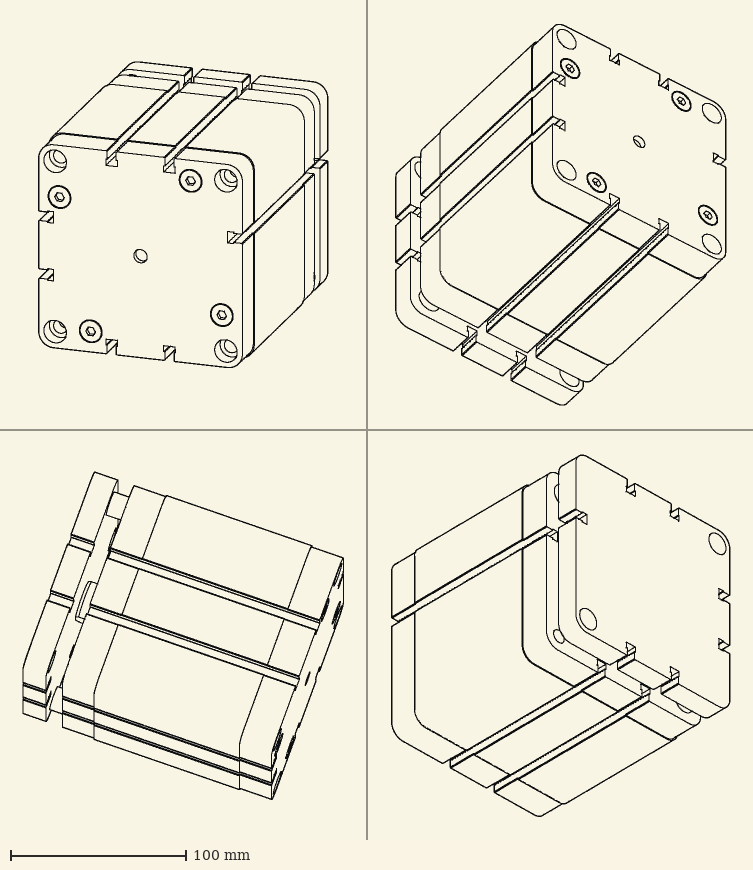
import cadquery as cq

total_length = 150.5
cap_length = 19.3
plate_thickness = 14.0
rod_gap = 10.0
barrel_length = total_length - 2 * cap_length - rod_gap - plate_thickness

front_face = -total_length / 2
barrel_start = front_face + cap_length
barrel_end = barrel_start + barrel_length
housing_end = barrel_end + cap_length
plate_start = housing_end + rod_gap
plate_end = plate_start + plate_thickness

barrel_side = 124.0
cap_side = 122.8
corner_radius = 9.0

slot_offset = 17.5
slot_neck_width = 5.5
slot_head_width = 6.9
slot_head_height = 3.6
slot_depth = 9.5
slot_floor = barrel_side / 2 - slot_depth
slot_lip_chamfer = 0.5
slot_layout = (
    (0, (-slot_offset, slot_offset)),
    (180, (-slot_offset, slot_offset)),
    (-90, (-slot_offset, slot_offset)),
    (90, (-slot_offset,)),
)

mount_offset = 51.5
mount_counterbore_diameter = 13.5
mount_counterbore_depth = cap_length / 2
mount_hole_diameter = 8.5

screw_far_offset = 48.9
screw_near_offset = 30.1
screw_recess_diameter = 13.5
screw_head_diameter = 13.0
screw_gap_depth = 0.8
socket_across_corners = 5.7
socket_depth = 2.7

port_diameter = 8.0
port_depth = 3.6

rod_diameter = 25.0
rod_flat_width = 22.0
rod_flat_length = 7.0
rod_runout_length = 1.8
rod_taper_length = 1.8
rod_taper_inset = 0.9
pin_offset = 48.2
pin_diameter = 14.0


def section_plane(y):
    """XZ plane at the given y; a negative extrusion depth runs toward +Y."""
    return cq.Workplane("XZ", origin=(0, y, 0))


def square_prism(side, start, end):
    """Square block with rounded long edges, from start to end along Y."""
    block = section_plane(start).rect(side, side).extrude(start - end)
    return block.edges("|Y").fillet(corner_radius)


def cylinders(points, diameter, start, end):
    """Cylinders along Y at the given (x, z) points."""
    return section_plane(start).pushPoints(points).circle(diameter / 2).extrude(start - end)


def t_slot(side, start, end):
    """T-slot cutter, centred at X = 0, for the top of a block of the given side length."""
    head_top = slot_floor + slot_head_height
    face = side / 2
    half_profile = [
        (slot_head_width / 2, slot_floor),
        (slot_head_width / 2, head_top),
        (slot_neck_width / 2, head_top),
        (slot_neck_width / 2, face - slot_lip_chamfer),
        (slot_neck_width / 2 + slot_lip_chamfer, face),
    ]
    mirrored_half = [(-x, z) for x, z in reversed(half_profile)]
    return section_plane(start).polyline(half_profile + mirrored_half).close().extrude(start - end)


def slotted_block(side, start, end):
    """Rounded square block with T-slots: two on the top, left and bottom, one on the right."""
    block = square_prism(side, start, end)
    slot = t_slot(side, start, end)
    for angle, offsets in slot_layout:
        for offset in offsets:
            cutter = slot.translate((offset, 0, 0)).rotate((0, 0, 0), (0, 1, 0), angle)
            block = block.cut(cutter)
    return block


def piston_rod():
    """Rod with two wrench flats, each ending in a sloped run-out, and a taper at the plate."""
    radius = rod_diameter / 2
    tip_radius = radius - rod_taper_inset
    rod = (
        cq.Workplane("XY")
        .moveTo(0, housing_end)
        .lineTo(radius, housing_end)
        .lineTo(radius, plate_start - rod_taper_length)
        .lineTo(tip_radius, plate_start)
        .lineTo(0, plate_start)
        .close()
        .revolve(360, (0, 0, 0), (0, 1, 0))
    )
    flat_x = rod_flat_width / 2
    flat_start = plate_start - rod_flat_length
    flat_cutter = (
        cq.Workplane("XY")
        .moveTo(flat_x, plate_start)
        .lineTo(flat_x, flat_start)
        .lineTo(radius, flat_start - rod_runout_length)
        .lineTo(radius, plate_start)
        .close()
        .extrude(radius, both=True)
    )
    return rod.cut(flat_cutter).cut(flat_cutter.mirror("YZ"))


caps_and_barrel = (
    slotted_block(cap_side, front_face, barrel_start)
    .union(slotted_block(barrel_side, barrel_start, barrel_end))
    .union(slotted_block(cap_side, barrel_end, housing_end))
)
plate = slotted_block(cap_side, plate_start, plate_end)
result = caps_and_barrel.union(plate)

through_points = [(-mount_offset, mount_offset), (mount_offset, -mount_offset)]
blind_points = [(-mount_offset, -mount_offset), (mount_offset, mount_offset)]
mount_points = through_points + blind_points
counterbore_end = front_face + mount_counterbore_depth
result = (
    result.cut(cylinders(mount_points, mount_counterbore_diameter, front_face, counterbore_end))
    .cut(cylinders(blind_points, mount_hole_diameter, front_face, barrel_start))
    .cut(cylinders(through_points, mount_hole_diameter, front_face, housing_end))
    .cut(cylinders(through_points, mount_counterbore_diameter, plate_start, plate_end))
)

screw_points = [
    (screw_near_offset, screw_far_offset),
    (screw_far_offset, -screw_near_offset),
    (-screw_near_offset, -screw_far_offset),
    (-screw_far_offset, screw_near_offset),
]
gap_end = front_face + screw_gap_depth
ring_gaps = cylinders(screw_points, screw_recess_diameter, front_face, gap_end).cut(
    cylinders(screw_points, screw_head_diameter, front_face, gap_end)
)
sockets = (
    section_plane(front_face)
    .pushPoints(screw_points)
    .polygon(6, socket_across_corners)
    .extrude(-socket_depth)
)
result = result.cut(ring_gaps).cut(sockets)

result = result.cut(cylinders([(0, 0)], port_diameter, front_face, front_face + port_depth))

pin_points = [(-pin_offset, -pin_offset), (pin_offset, pin_offset)]
result = result.union(piston_rod()).union(cylinders(pin_points, pin_diameter, housing_end, plate_start))